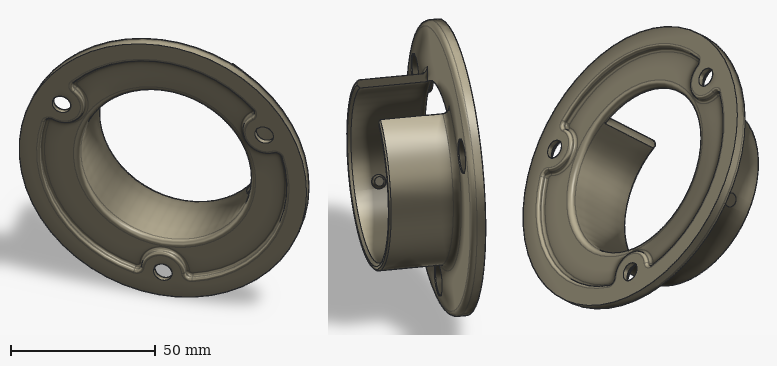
import cadquery as cq
import math


FLANGE_RADIUS = 51.5
FLANGE_THICKNESS = 5.0
FLANGE_RIM_ROUND = 2.0

OVERALL_DEPTH = 30.0
COLLAR_RADIUS = 33.3
COLLAR_END_CHAMFER = 0.6
COLLAR_ROOT_FILLET = 2.3
COLLAR_GAP_WIDTH = 33.8

BORE_RADIUS = 30.6
BORE_FRONT_ROUND = 2.1
BORE_BACK_CHAMFER = 1.0

HOLE_COUNT = 3
HOLE_RADIUS = 3.3
HOLE_STRAIGHT_LENGTH = 2.0
COUNTERSINK_RADIUS = 6.0
HOLE_CIRCLE_RADIUS = 41.9
FIRST_HOLE_ANGLE = -90.0
LOBE_RADIUS = 7.9

RECESS_RADIUS = 44.1
RECESS_DEPTH = 2.3
RECESS_FLOOR_ROUND = 1.0
RECESS_RIM_ROUND = 1.1
RECESS_CORNER_RADIUS = 2.0

SCREW_RADIUS = 2.5
SCREW_ANGLE = -30.0
SCREW_Y = 20.1
SCREW_TIP_DISTANCE = 29.3
SCREW_TIP_CHAMFER = 0.8


def cylinder_along_y(radius, start, end):
    """Cylinder on the ring axis between two Y positions."""
    return cq.Workplane("XZ", origin=(0, start, 0)).circle(radius).extrude(start - end)


def hole_positions():
    """X and Z of the mounting hole centres."""
    angles = [math.radians(FIRST_HOLE_ANGLE + i * 360.0 / HOLE_COUNT) for i in range(HOLE_COUNT)]
    return [(HOLE_CIRCLE_RADIUS * math.cos(a), HOLE_CIRCLE_RADIUS * math.sin(a)) for a in angles]


def make_flange():
    flange = cylinder_along_y(FLANGE_RADIUS, 0, FLANGE_THICKNESS)
    return flange.faces(">Y").edges().fillet(FLANGE_RIM_ROUND)


def make_collar():
    """Collar with a flared root, open at the top over the gap width."""
    root_radius = COLLAR_RADIUS + COLLAR_ROOT_FILLET
    root_end = FLANGE_THICKNESS + COLLAR_ROOT_FILLET
    arc_shift = COLLAR_ROOT_FILLET * (1 - math.sqrt(0.5))
    profile = (
        cq.Workplane("XY")
        .moveTo(0, 0)
        .lineTo(root_radius, 0)
        .lineTo(root_radius, FLANGE_THICKNESS)
        .threePointArc(
            (COLLAR_RADIUS + arc_shift, FLANGE_THICKNESS + arc_shift),
            (COLLAR_RADIUS, root_end),
        )
        .lineTo(COLLAR_RADIUS, OVERALL_DEPTH - COLLAR_END_CHAMFER)
        .lineTo(COLLAR_RADIUS - COLLAR_END_CHAMFER, OVERALL_DEPTH)
        .lineTo(0, OVERALL_DEPTH)
        .close()
    )
    collar = profile.revolve(360, (0, 0, 0), (0, 1, 0))
    gap = cq.Workplane("XY").box(
        COLLAR_GAP_WIDTH,
        OVERALL_DEPTH - FLANGE_THICKNESS,
        FLANGE_RADIUS,
        centered=(True, False, False),
    )
    return collar.cut(gap.translate((0, FLANGE_THICKNESS, 0)))


def make_recess():
    """Round recess with a rounded floor edge, broken by a lobe around each hole."""
    disc = cylinder_along_y(RECESS_RADIUS, 0, RECESS_DEPTH)
    lobes = (
        cq.Workplane("XZ")
        .pushPoints(hole_positions())
        .circle(LOBE_RADIUS)
        .extrude(-RECESS_DEPTH)
    )
    recess = disc.cut(lobes).edges("|Y").fillet(RECESS_CORNER_RADIUS)
    return recess.faces(">Y").edges().fillet(RECESS_FLOOR_ROUND)


def round_recess_rim(body):
    """Round the edge between the recess walls and the front face."""
    front_face = body.faces("<Y").val()
    rim_edges = front_face.innerWires()[0].Edges()
    return body.newObject(rim_edges).fillet(RECESS_RIM_ROUND)


def make_bore():
    """Bore with a flared mouth at the recess floor and a chamfered back end."""
    flare_radius = BORE_RADIUS + BORE_FRONT_ROUND
    flare_end = RECESS_DEPTH + BORE_FRONT_ROUND
    arc_shift = BORE_FRONT_ROUND * (1 - math.sqrt(0.5))
    profile = (
        cq.Workplane("XY")
        .moveTo(0, RECESS_DEPTH)
        .lineTo(flare_radius, RECESS_DEPTH)
        .threePointArc(
            (BORE_RADIUS + arc_shift, RECESS_DEPTH + arc_shift),
            (BORE_RADIUS, flare_end),
        )
        .lineTo(BORE_RADIUS, OVERALL_DEPTH - BORE_BACK_CHAMFER)
        .lineTo(BORE_RADIUS + BORE_BACK_CHAMFER, OVERALL_DEPTH)
        .lineTo(0, OVERALL_DEPTH)
        .close()
    )
    return profile.revolve(360, (0, 0, 0), (0, 1, 0))


def make_mounting_hole(x, z):
    """Straight hole, then a cone, then a short counterbore at the back of the flange."""
    cone_depth = COUNTERSINK_RADIUS - HOLE_RADIUS
    profile = (
        cq.Workplane("XY")
        .lineTo(HOLE_RADIUS, 0)
        .lineTo(HOLE_RADIUS, HOLE_STRAIGHT_LENGTH)
        .lineTo(COUNTERSINK_RADIUS, HOLE_STRAIGHT_LENGTH + cone_depth)
        .lineTo(COUNTERSINK_RADIUS, FLANGE_THICKNESS)
        .lineTo(0, FLANGE_THICKNESS)
        .close()
    )
    return profile.revolve(360, (0, 0, 0), (0, 1, 0)).translate((x, 0, z))


def make_set_screw():
    """Radial screw with a chamfered tip standing proud of the bore wall."""
    outer_end = math.sqrt(COLLAR_RADIUS**2 - SCREW_RADIUS**2)
    screw = (
        cq.Workplane("YZ", origin=(SCREW_TIP_DISTANCE, SCREW_Y, 0))
        .circle(SCREW_RADIUS)
        .extrude(outer_end - SCREW_TIP_DISTANCE)
        .faces("<X")
        .chamfer(SCREW_TIP_CHAMFER)
    )
    return screw.rotate((0, 0, 0), (0, 1, 0), -SCREW_ANGLE)


def make_screw_hole():
    """Plain radial hole through the collar wall that the screw fills."""
    hole = (
        cq.Workplane("YZ", origin=(SCREW_TIP_DISTANCE, SCREW_Y, 0))
        .circle(SCREW_RADIUS)
        .extrude(COLLAR_RADIUS - SCREW_TIP_DISTANCE)
    )
    return hole.rotate((0, 0, 0), (0, 1, 0), -SCREW_ANGLE)


def make_flanged_ring():
    ring = make_flange().union(make_collar()).cut(make_recess())
    ring = round_recess_rim(ring)
    ring = ring.cut(make_bore()).cut(make_screw_hole())
    for x, z in hole_positions():
        ring = ring.cut(make_mounting_hole(x, z))
    return ring


flanged_ring = make_flanged_ring()
set_screw = make_set_screw()

result = cq.Compound.makeCompound([flanged_ring.val(), set_screw.val()])